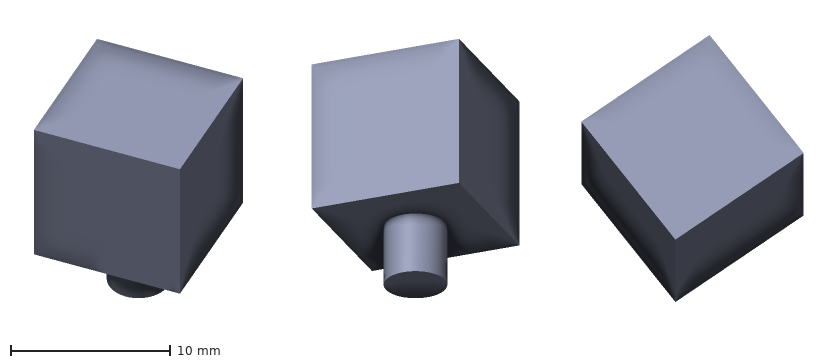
import cadquery as cq

total_height = 14.0
cube_side = 10.0
pin_diameter = 4.0

pin_length = total_height - cube_side

cube = cq.Workplane("XY").box(cube_side, cube_side, cube_side, centered=(True, True, False))

pin = cq.Workplane("XY").circle(pin_diameter / 2).extrude(-pin_length)

result = cube.union(pin)